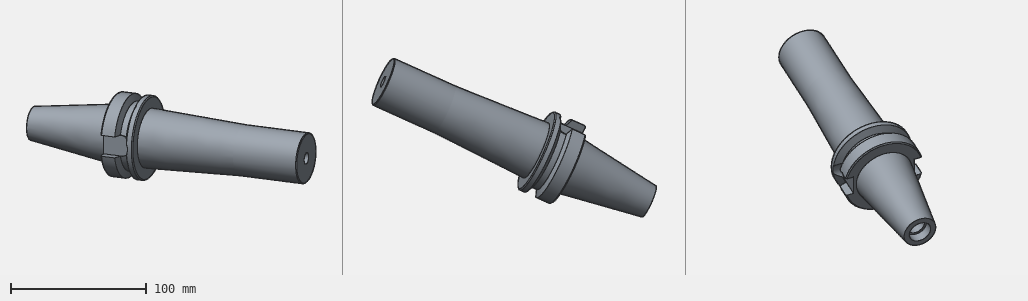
import cadquery as cq

total_length = 218.0
taper_length = 65.4
flange_start = 66.5
groove_start = 77.8
groove_floor_start = 80.0
groove_floor_end = 84.8
groove_end = 87.5
flange_end = 92.5
neck_start = 93.5
nose_start = 167.5

gauge_diameter = 44.5
flange_diameter = 63.0
groove_diameter = 52.0
nose_diameter = 38.0
taper_ratio = 7 / 24
small_end_diameter = gauge_diameter - taper_ratio * taper_length

flange_chamfer = 0.9
nose_chamfer = 0.7

entry_diameter = 17.0
entry_depth = 7.6
thread_diameter = 13.7
thread_depth = 30.5
through_diameter = 8.5

slot_width = 16.1
slot_floor = 24.5
slot_end = 88.5


def make_body():
    """Revolve the taper, grooved flange, neck and nose about X."""
    flange_radius = flange_diameter / 2
    gauge_radius = gauge_diameter / 2
    groove_radius = groove_diameter / 2
    nose_radius = nose_diameter / 2
    profile = [
        (0, 0),
        (0, small_end_diameter / 2),
        (taper_length, gauge_radius),
        (flange_start, gauge_radius),
        (flange_start, flange_radius - flange_chamfer),
        (flange_start + flange_chamfer, flange_radius),
        (groove_start, flange_radius),
        (groove_floor_start, groove_radius),
        (groove_floor_end, groove_radius),
        (groove_end, flange_radius),
        (flange_end - flange_chamfer, flange_radius),
        (flange_end, flange_radius - flange_chamfer),
        (flange_end, gauge_radius),
        (neck_start, gauge_radius),
        (nose_start, nose_radius),
        (total_length - nose_chamfer, nose_radius),
        (total_length, nose_radius - nose_chamfer),
        (total_length, 0),
    ]
    outline = cq.Workplane("XY").polyline(profile).close()
    return outline.revolve(360, (0, 0, 0), (1, 0, 0))


def make_bore(diameter, depth):
    """Round cutter entering from the small end of the taper."""
    return cq.Workplane("YZ").circle(diameter / 2).extrude(depth)


def make_slot(side):
    """Round-ended drive slot cutter on the +Y (side=1) or -Y (side=-1) edge."""
    slot_radius = slot_width / 2
    arc_start = slot_end - slot_radius
    return (
        cq.Workplane("XZ", origin=(0, side * slot_floor, 0))
        .moveTo(flange_start, -slot_radius)
        .lineTo(arc_start, -slot_radius)
        .threePointArc((slot_end, 0), (arc_start, slot_radius))
        .lineTo(flange_start, slot_radius)
        .close()
        .extrude(-side * flange_diameter / 2)
    )


result = make_body()

for bore_diameter, bore_depth in (
    (entry_diameter, entry_depth),
    (thread_diameter, thread_depth),
    (through_diameter, total_length),
):
    result = result.cut(make_bore(bore_diameter, bore_depth))

for slot_side in (1, -1):
    result = result.cut(make_slot(slot_side))